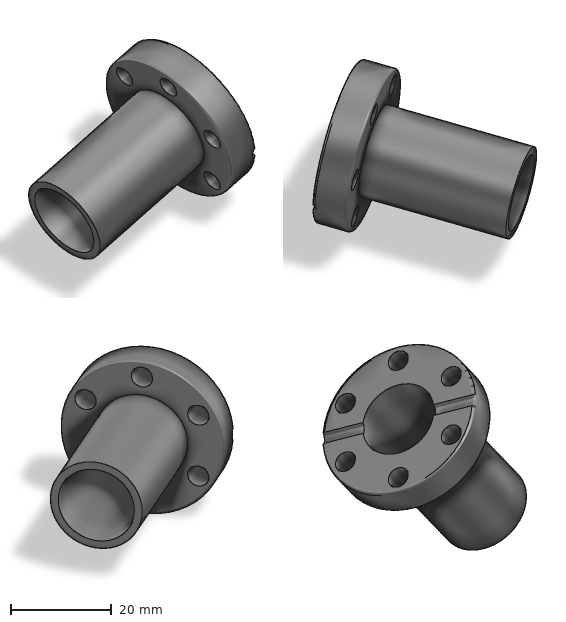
import cadquery as cq

total_length = 38.1
flange_diameter = 33.8
flange_thickness = 7.25
tube_diameter = 19.05
bore_diameter = 15.77
rim_fillet = 0.55

bolt_hole_count = 6
bolt_hole_diameter = 4.4
bolt_circle_diameter = 27.0

groove_radius = 1.45
groove_depth = 0.72

AXIS_PLANE = cq.Plane(origin=(0, 0, 0), xDir=(1, 0, 0), normal=(0, 1, 0))
flange_front = total_length - flange_thickness


def cylinder(diameter, start, length):
    """Solid cylinder on the part axis, from start towards +Y."""
    return cq.Workplane(AXIS_PLANE).workplane(offset=start).circle(diameter / 2).extrude(length)


def make_flange():
    """Grooved disc whose outer rim is rounded, including where the groove breaks out."""
    flange = cylinder(flange_diameter, flange_front, flange_thickness)
    groove_axis_y = total_length + groove_radius - groove_depth
    groove = (
        cq.Workplane("YZ")
        .center(groove_axis_y, 0)
        .circle(groove_radius)
        .extrude(flange_diameter, both=True)
    )
    flange = flange.cut(groove)

    rim_edges = flange.faces("%CYLINDER").faces(cq.selectors.AreaNthSelector(-1)).edges("not |Y")
    return flange.newObject(rim_edges.vals()).fillet(rim_fillet)


def make_bolt_holes():
    """Through-hole cutters, starting directly above the axis."""
    return (
        cq.Workplane(AXIS_PLANE)
        .workplane(offset=flange_front)
        .polarArray(bolt_circle_diameter / 2, 90, 360, bolt_hole_count)
        .circle(bolt_hole_diameter / 2)
        .extrude(flange_thickness)
    )


tube = cylinder(tube_diameter, 0, flange_front)
bore = cylinder(bore_diameter, 0, total_length)
result = make_flange().union(tube).cut(bore).cut(make_bolt_holes())